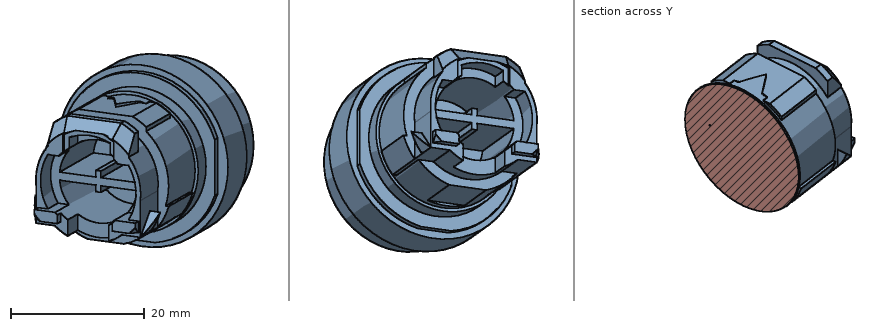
import cadquery as cq
import math


BUTTON_EDGE = 0.8
BEZEL_BACK = 5.67
BEZEL_FRONT = 13.15
FLANGE_FRONT = 14.2
COLLAR_FRONT = 16.87
BODY_FRONT = 25.95
NECK_FRONT = 31.95
FOOT_TIP = 33.15

CROWN_R = 8.52
BUTTON_R = 24.9 / 2
BEZEL_R = 28.35 / 2
BEZEL_CHAMFER = 1.03
FLANGE_R = 13.2
COLLAR_R = 22.0 / 2
BODY_R = 21.0 / 2
NECK_R = 8.75

FLANGE_SIDE_FLAT = BUTTON_R
FLANGE_BOTTOM_FLAT = 12.95
BODY_FLAT = 10.05
BODY_BOTTOM_FLAT_START = 17.97

PAD_START = 17.7
TOP_PAD_HALF_WIDTH = 6.75
SIDE_PAD_TOP = -3.2

ARROW_NOTCH_HALF_WIDTH = 3.2
ARROW_NOTCH_END = 18.73
ARROW_HALF_WIDTH = 2.15
ARROW_TIP = 22.45

NECK_HALF_WIDTH = 17.4 / 2
NECK_BOTTOM = -6.73

CATCH_START = 28.67
TOP_CATCH_CHAMFER = 2.05
SIDE_CATCH_HEIGHT = NECK_FRONT - CATCH_START

BORE_R = 6.5
BORE_FLOOR = COLLAR_FRONT
RECESS_R = 7.95
RECESS_FLOOR = 28.48
RECESS_HALF_HEIGHT = 4.25
KEYWAY_HALF_WIDTH = 3.4
TOP_SLOT_HALF_WIDTH = 4.25
TOP_SLOT_FLOOR = 31.5
BAR_HALF_THICKNESS = 0.63
RIB_HALF_WIDTH = 0.43
RIB_HALF_HEIGHT = 1.65

FOOT_INNER = 4.57
FOOT_OUTER = 8.42
FOOT_TOP = -RECESS_HALF_HEIGHT
FOOT_BOTTOM = -5.97
FOOT_CORNER_CUT = 1

BEYOND = 16.58


def disc(radius, start, end):
    """Cylinder about the Y axis between two depths."""
    return cq.Workplane("XZ", origin=(0, -start, 0)).circle(radius).extrude(end - start)


def block(x_range, z_range, start, end):
    """Box between two X values, two Z values and two depths."""
    width = x_range[1] - x_range[0]
    height = z_range[1] - z_range[0]
    corner = (x_range[0], -end, z_range[0])
    return cq.Workplane("XY").box(width, end - start, height, centered=False).translate(corner)


def centred_block(half_width, z_range, start, end):
    return block((-half_width, half_width), z_range, start, end)


def both_sides(shape):
    """A shape together with its mirror image across X = 0."""
    return shape.union(shape.mirror("YZ"))


def make_button_and_bezel():
    bezel_rim = BEZEL_R - BEZEL_CHAMFER
    outline = [
        (0, 0),
        (CROWN_R, 0),
        (BUTTON_R, -BUTTON_EDGE),
        (BUTTON_R, -BEZEL_BACK),
        (bezel_rim, -BEZEL_BACK),
        (BEZEL_R, -BEZEL_BACK - BEZEL_CHAMFER),
        (BEZEL_R, -BEZEL_FRONT),
        (0, -BEZEL_FRONT),
    ]
    return cq.Workplane("XY").polyline(outline).close().revolve(360, (0, 0, 0), (0, 1, 0))


def make_flange():
    limits = centred_block(FLANGE_SIDE_FLAT, (-FLANGE_BOTTOM_FLAT, BEYOND), BEZEL_FRONT, FLANGE_FRONT)
    return disc(FLANGE_R, BEZEL_FRONT, FLANGE_FRONT).intersect(limits)


def make_arrow_prism():
    right_edge = [
        (ARROW_NOTCH_HALF_WIDTH, -PAD_START),
        (ARROW_NOTCH_HALF_WIDTH, -ARROW_NOTCH_END),
        (ARROW_HALF_WIDTH, -ARROW_NOTCH_END),
    ]
    left_edge = [(-x, y) for x, y in reversed(right_edge)]
    outline = right_edge + [(0, -ARROW_TIP)] + left_edge
    return cq.Workplane("XY").polyline(outline).close().extrude(BEYOND)


def make_body():
    arrow = make_arrow_prism()
    above_flat = centred_block(BEYOND, (BODY_FLAT, BEYOND), PAD_START, BODY_FRONT)
    below_flat = centred_block(BEYOND, (-BEYOND, -BODY_FLAT), BODY_BOTTOM_FLAT_START, BODY_FRONT)
    core = disc(BODY_R, COLLAR_FRONT, BODY_FRONT).cut(above_flat.cut(arrow)).cut(below_flat)

    pad_ring = disc(COLLAR_R, PAD_START, BODY_FRONT)
    top_zone = centred_block(TOP_PAD_HALF_WIDTH, (0, BODY_FLAT), PAD_START, BODY_FRONT)
    side_zone = centred_block(BEYOND, (NECK_BOTTOM, SIDE_PAD_TOP), PAD_START, BODY_FRONT)
    top_pad = pad_ring.intersect(top_zone).cut(arrow)
    side_pads = pad_ring.intersect(side_zone)
    return core.union(top_pad).union(side_pads)


def make_neck():
    side_top = -math.sqrt(NECK_R**2 - NECK_HALF_WIDTH**2)
    square_half = centred_block(NECK_HALF_WIDTH, (NECK_BOTTOM, side_top), BODY_FRONT, NECK_FRONT)
    return disc(NECK_R, BODY_FRONT, NECK_FRONT).union(square_half)


def make_top_catch():
    """Catch clipped to a ring whose front edge is a 45 degree cone."""
    cone_ring = disc(COLLAR_R, CATCH_START, NECK_FRONT).faces("<Y").chamfer(TOP_CATCH_CHAMFER)
    zone = centred_block(TOP_PAD_HALF_WIDTH, (0, BODY_FLAT), CATCH_START, NECK_FRONT)
    return cone_ring.intersect(zone)


def make_top_lead_in():
    """Corner removed from the flat top of the catch and from the neck under it."""
    outline = [
        (-NECK_FRONT + TOP_CATCH_CHAMFER, BODY_FLAT),
        (-NECK_FRONT, BODY_FLAT),
        (-NECK_FRONT, BODY_FLAT - TOP_CATCH_CHAMFER),
    ]
    return cq.Workplane("YZ").polyline(outline).close().extrude(TOP_PAD_HALF_WIDTH, both=True)


def make_side_catches():
    ring = disc(COLLAR_R, CATCH_START, NECK_FRONT)
    outline = [
        (-CATCH_START, NECK_BOTTOM),
        (-CATCH_START, NECK_BOTTOM + SIDE_CATCH_HEIGHT),
        (-NECK_FRONT, NECK_BOTTOM),
    ]
    wedge = cq.Workplane("YZ").polyline(outline).close().extrude(BEYOND, both=True)
    return ring.intersect(wedge)


def make_feet():
    foot = block((FOOT_INNER, FOOT_OUTER), (FOOT_BOTTOM, FOOT_TOP), NECK_FRONT, FOOT_TIP)
    corner_plane = cq.Plane(
        origin=(FOOT_OUTER - FOOT_CORNER_CUT, -FOOT_TIP, FOOT_BOTTOM),
        xDir=(0, 1, -1),
        normal=(1, -1, -1),
    )
    corner = cq.Workplane(corner_plane).rect(BEYOND, BEYOND).extrude(BEYOND)
    return both_sides(foot.cut(corner))


def make_bore():
    """Everything hollow: the bore, its recesses, the bottom opening and the top slot."""
    bore = disc(BORE_R, BORE_FLOOR, FOOT_TIP)

    side_zone = centred_block(BEYOND, (-RECESS_HALF_HEIGHT, RECESS_HALF_HEIGHT), RECESS_FLOOR, NECK_FRONT)
    top_zone = centred_block(KEYWAY_HALF_WIDTH, (0, BEYOND), RECESS_FLOOR, NECK_FRONT)
    recesses = disc(RECESS_R, RECESS_FLOOR, NECK_FRONT).intersect(side_zone.union(top_zone))

    bottom_opening = centred_block(KEYWAY_HALF_WIDTH, (-BEYOND, 0), RECESS_FLOOR, NECK_FRONT)

    slot_zone = centred_block(TOP_SLOT_HALF_WIDTH, (0, BEYOND), TOP_SLOT_FLOOR, NECK_FRONT)
    top_slot = disc(NECK_R, TOP_SLOT_FLOOR, NECK_FRONT).intersect(slot_zone)
    return bore.union(recesses).union(bottom_opening).union(top_slot)


def make_cross():
    bar = centred_block(BORE_R, (-BAR_HALF_THICKNESS, BAR_HALF_THICKNESS), BORE_FLOOR, RECESS_FLOOR)
    rib = centred_block(RIB_HALF_WIDTH, (-RIB_HALF_HEIGHT, RIB_HALF_HEIGHT), BORE_FLOOR, RECESS_FLOOR)
    return bar.union(rib)


result = (
    make_button_and_bezel()
    .union(make_flange())
    .union(disc(COLLAR_R, FLANGE_FRONT, COLLAR_FRONT))
    .union(make_body())
    .union(make_neck())
    .union(make_top_catch())
    .cut(make_top_lead_in())
    .union(make_side_catches())
    .union(make_feet())
    .cut(make_bore())
    .union(make_cross())
)